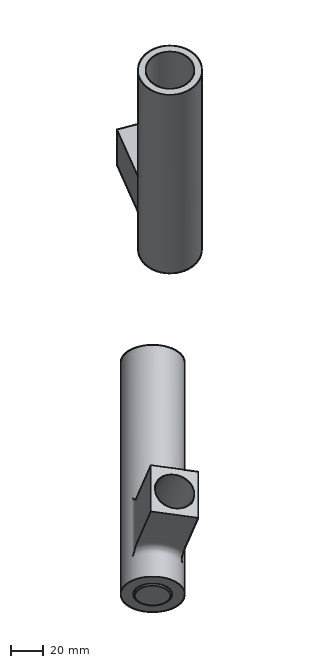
import cadquery as cq

TUBE_RADIUS = 19.8
TUBE_HEIGHT = 172.0
BORE_RADIUS = 15.0
FLOOR_THICKNESS = 5.0

FOOT_RADIUS = 12.0
FOOT_HEIGHT = 1.0

ARM_REACH = 56.65
ARM_WIDTH = 30.2
ARM_HEIGHT = 34.3
ARM_CENTER_Z = 39.45
ARM_HOLE_RADIUS = 12.5
ARM_FILLET = 5.0


def make_tube_body():
    """Solid cylinder with the outer size of the tube."""
    return cq.Workplane("XY").circle(TUBE_RADIUS).extrude(TUBE_HEIGHT)


def make_arm():
    """Solid bar from the tube axis to the arm's free end."""
    return (
        cq.Workplane("YZ", origin=(-ARM_REACH, 0, ARM_CENTER_Z))
        .rect(ARM_WIDTH, ARM_HEIGHT)
        .extrude(ARM_REACH)
    )


def fillet_arm_root(body):
    """Round all the edges where the arm meets the outside of the tube."""
    root_zone = cq.selectors.BoxSelector(
        (-TUBE_RADIUS, -TUBE_RADIUS, ARM_CENTER_Z - ARM_HEIGHT),
        (0, TUBE_RADIUS, ARM_CENTER_Z + ARM_HEIGHT),
    )
    return body.edges(root_zone).fillet(ARM_FILLET)


def make_arm_hole():
    """Round hole along the arm that stops at the outer surface of the tube."""
    hole = (
        cq.Workplane("YZ", origin=(-ARM_REACH, 0, ARM_CENTER_Z))
        .circle(ARM_HOLE_RADIUS)
        .extrude(ARM_REACH)
    )
    return hole.cut(make_tube_body())


def make_bore():
    """Bore open at the top of the tube and closed by a floor at the bottom."""
    return (
        cq.Workplane("XY", origin=(0, 0, FLOOR_THICKNESS))
        .circle(BORE_RADIUS)
        .extrude(TUBE_HEIGHT - FLOOR_THICKNESS)
    )


def make_foot():
    """Short cone under the tube that narrows downward at 45 degrees."""
    return (
        cq.Workplane("XY")
        .circle(FOOT_RADIUS)
        .workplane(offset=-FOOT_HEIGHT)
        .circle(FOOT_RADIUS - FOOT_HEIGHT)
        .loft()
    )


body = fillet_arm_root(make_tube_body().union(make_arm()))
result = body.cut(make_arm_hole()).cut(make_bore()).union(make_foot())